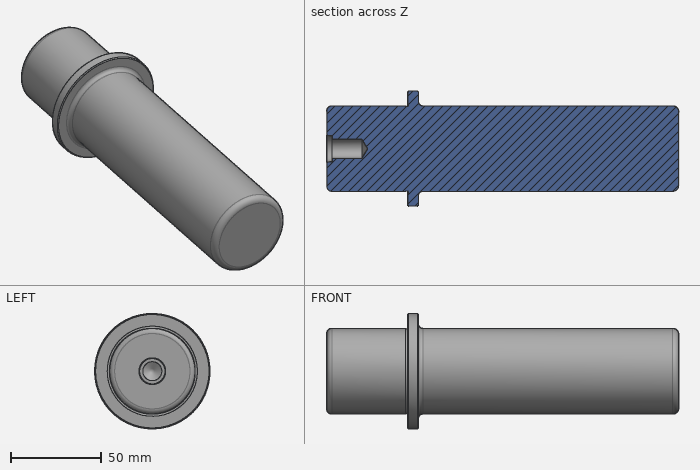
import cadquery as cq
import math

length = 195.0
body_radius = 23.8
flange_radius = 32.0

flange_start = 44.8
flange_width = 6.0
flange_chamfer = 0.5
right_root_fillet = 2.3

relief_reach = 1.2
relief_depth = 0.08

left_end_fillet = 3.0
right_end_fillet = 3.5

mouth_radius = 7.5
counterbore_radius = 7.0
counterbore_depth = 3.1
hole_radius = 5.3
hole_depth = 19.5
drill_point_angle = 118.0

left_end = -length / 2


def cylinder(start, width, radius):
    """Cylinder along X whose left face lies at X = start."""
    return cq.Workplane("YZ", origin=(start, 0, 0)).circle(radius).extrude(width)


def make_body():
    body = cylinder(left_end, length, body_radius)
    body = body.faces("<X").edges().fillet(left_end_fillet)
    return body.faces(">X").edges().fillet(right_end_fillet)


def make_root_fillet(face_x):
    """Ring blending the body into the right flange face."""
    end_x = face_x + right_root_fillet
    top_radius = body_radius + right_root_fillet
    arc_offset = right_root_fillet * math.sqrt(0.5)
    inner_radius = body_radius / 2
    profile = (
        cq.Workplane("XY")
        .moveTo(face_x, inner_radius)
        .lineTo(face_x, top_radius)
        .threePointArc((end_x - arc_offset, top_radius - arc_offset), (end_x, body_radius))
        .lineTo(end_x, inner_radius)
        .close()
    )
    return profile.revolve(360, (0, 0, 0), (1, 0, 0))


def make_flange():
    left_face = left_end + flange_start
    flange = cylinder(left_face, flange_width, flange_radius).edges().chamfer(flange_chamfer)
    return flange.union(make_root_fillet(left_face + flange_width))


def make_relief():
    """Ring groove cutting slightly into both the body and the left flange face."""
    face_x = left_end + flange_start
    profile = (
        cq.Workplane("XY")
        .moveTo(face_x - relief_reach, body_radius)
        .threePointArc(
            (face_x + relief_depth, body_radius - relief_depth),
            (face_x, body_radius + relief_reach),
        )
        .close()
    )
    return profile.revolve(360, (0, 0, 0), (1, 0, 0))


def make_hole():
    """Tapered counterbore, then a drilled hole with a conical bottom."""
    point_depth = hole_radius / math.tan(math.radians(drill_point_angle / 2))
    profile = (
        cq.Workplane("XY", origin=(left_end, 0, 0))
        .lineTo(0, mouth_radius)
        .lineTo(counterbore_depth, counterbore_radius)
        .lineTo(counterbore_depth, hole_radius)
        .lineTo(hole_depth, hole_radius)
        .lineTo(hole_depth + point_depth, 0)
        .close()
    )
    return profile.revolve(360, (0, 0, 0), (1, 0, 0))


result = make_body().union(make_flange()).cut(make_relief()).cut(make_hole())